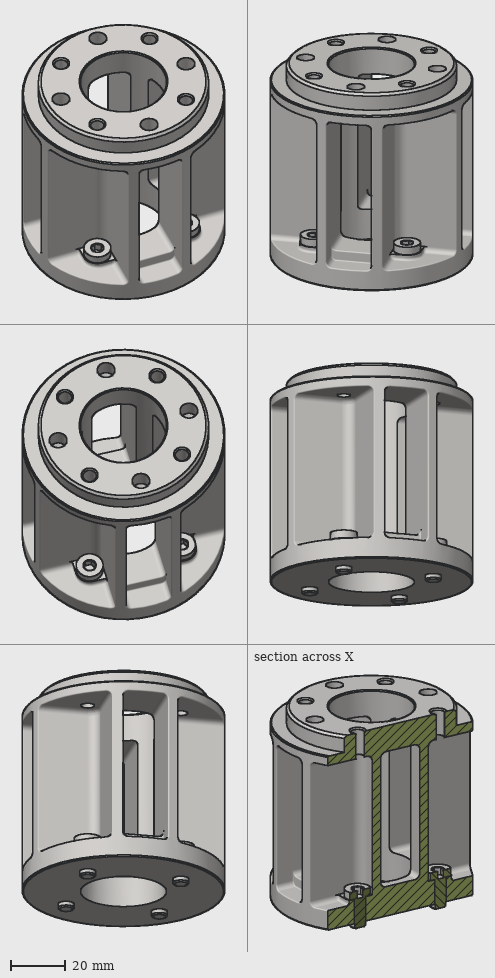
import cadquery as cq
import math

OUTER_DIAMETER = 75.0
HOUSING_HEIGHT = 75.9
SPIGOT_DIAMETER = 63.0
SPIGOT_HEIGHT = 6.55
SPIGOT_CHAMFER = 1.0
BORE_DIAMETER = 31.8
EDGE_BREAK = 0.5
COUNTERSINK_ANGLE = 90

FLOOR_Z = 7.95
CEILING_Z = 65.4
OPENING_FILLET = 2.0

WINDOW_HALF_WIDTH = 8.5
LEDGE_HEIGHT = 4.0
LEDGE_REACH = 29.0

POCKET_WALL = 12.55
POCKET_CORNER_RADIUS = 4.0
SEAT_HEIGHT = 2.0
SEAT_REACH = 23.0
SEAT_FILLET = 1.0

BOLT_CIRCLE_DIAMETER = 50.0
THREADED_HOLE_DIAMETER = 5.0
THREADED_HOLE_MOUTH = 6.15
BLIND_HOLE_DIAMETER = 6.5
BLIND_HOLE_DEPTH = 7.0
DRILL_POINT_ANGLE = 118

SCREW_DIAMETER = 6.0
SCREW_HEAD_DIAMETER = 10.0
SCREW_HEAD_HEIGHT = 3.0
SCREW_PROTRUSION = 2.0
SCREW_TIP_CHAMFER = 0.55
SOCKET_ACROSS_FLATS = 4.1
SOCKET_DEPTH = 3.1

OUTER_RADIUS = OUTER_DIAMETER / 2
FLANGE_TOP_Z = HOUSING_HEIGHT - SPIGOT_HEIGHT
LEDGE_TOP_Z = FLOOR_Z + LEDGE_HEIGHT
SEAT_TOP_Z = FLOOR_Z + SEAT_HEIGHT
BOLT_CIRCLE_RADIUS = BOLT_CIRCLE_DIAMETER / 2
SCREW_OFFSET = BOLT_CIRCLE_RADIUS / math.sqrt(2)
SCREW_POSITIONS = [(sx * SCREW_OFFSET, sy * SCREW_OFFSET) for sx in (-1, 1) for sy in (-1, 1)]
QUARTER_TURNS = (0, 90, 180, 270)
TOLERANCE = 0.01


def turned(shape, angle):
    """The shape rotated about the Z axis."""
    return shape.rotate((0, 0, 0), (0, 0, 1), angle)


def rounded(shape, chosen, radius):
    """The shape with a fillet on every edge for which chosen(edge) is true."""
    edges = [edge for edge in shape.edges().vals() if chosen(edge)]
    return shape.newObject(edges).fillet(radius)


def block(x_range, y_range, z_range):
    """An axis-aligned box between the given limits."""
    (x0, x1), (y0, y1), (z0, z1) = x_range, y_range, z_range
    return cq.Workplane("XY").box(x1 - x0, y1 - y0, z1 - z0, centered=False).translate((x0, y0, z0))


def barrel():
    """The solid outer form: a round bar with chamfered rims, and the spigot on top of it."""
    base = cq.Workplane("XY").circle(OUTER_RADIUS).extrude(FLANGE_TOP_Z)
    base = base.edges().chamfer(EDGE_BREAK)
    spigot = cq.Workplane("XY").workplane(offset=FLANGE_TOP_Z).circle(SPIGOT_DIAMETER / 2)
    spigot = spigot.extrude(SPIGOT_HEIGHT).faces(">Z").edges().chamfer(SPIGOT_CHAMFER)
    return base.union(spigot)


def is_ledge_rim(edge):
    """True for the upper rim of the ledge front, with its arcs up to the window walls."""
    middle = edge.positionAt(0.5)
    on_front = abs(middle.x - LEDGE_REACH) < TOLERANCE
    return on_front and LEDGE_TOP_Z - TOLERANCE < middle.z < LEDGE_TOP_Z + OPENING_FILLET


def window_cutter():
    """One arm of the window cross, along +X: high over the ledge, full depth beyond it."""
    width = (-WINDOW_HALF_WIDTH, WINDOW_HALF_WIDTH)
    over_ledge = block((0, OUTER_DIAMETER), width, (LEDGE_TOP_Z, CEILING_Z))
    over_ledge = over_ledge.edges("|X").fillet(OPENING_FILLET)
    beyond_ledge = block((LEDGE_REACH, OUTER_DIAMETER), width, (FLOOR_Z, CEILING_Z))
    beyond_ledge = beyond_ledge.edges("|X").fillet(OPENING_FILLET)
    beyond_ledge = beyond_ledge.faces("<X").edges().fillet(EDGE_BREAK)
    cutter = over_ledge.union(beyond_ledge)
    return rounded(cutter, is_ledge_rim, EDGE_BREAK)


def is_seat_foot(edge):
    """True for the edges where the screw seat meets the flat pocket floor."""
    middle = edge.positionAt(0.5)
    on_floor = abs(middle.z - FLOOR_Z) < TOLERANCE
    return on_floor and max(middle.x, middle.y) < SEAT_REACH + TOLERANCE


def pocket_cutter():
    """The pocket in the +X +Y corner, leaving the screw seat standing on its floor."""
    side = (POCKET_WALL, OUTER_DIAMETER)
    pocket = block(side, side, (FLOOR_Z, CEILING_Z))
    pocket = pocket.edges("|Z and <X and <Y").fillet(POCKET_CORNER_RADIUS)
    pocket = pocket.faces("<Z or >Z").edges("not(>X or >Y)").fillet(OPENING_FILLET)
    seat = block((0, SEAT_REACH), (0, SEAT_REACH), (0, SEAT_TOP_Z))
    seat = seat.edges("|Z and >X and >Y").fillet(SEAT_REACH - SCREW_OFFSET)
    pocket = pocket.cut(seat)
    return rounded(pocket, is_seat_foot, SEAT_FILLET)


def is_opening_edge(edge):
    """True for the rims of the windows and pockets on the outer cylinder."""
    middle = edge.positionAt(0.5)
    on_cylinder = abs(math.hypot(middle.x, middle.y) - OUTER_RADIUS) < TOLERANCE
    return on_cylinder and FLOOR_Z - TOLERANCE < middle.z < CEILING_Z + TOLERANCE


def with_openings(body):
    """Cuts the window cross and the corner pockets, and rounds their rims on the outer cylinder."""
    for angle in QUARTER_TURNS:
        body = body.cut(turned(window_cutter(), angle))
        body = body.cut(turned(pocket_cutter(), angle))
    return rounded(body, is_opening_edge, EDGE_BREAK)


def with_bore(body):
    """Cuts the central bore, with a chamfered mouth in the top face."""
    mouth = BORE_DIAMETER + 2 * EDGE_BREAK
    top = body.faces(">Z").workplane(origin=(0, 0, HOUSING_HEIGHT))
    return top.cskHole(BORE_DIAMETER, mouth, COUNTERSINK_ANGLE)


def blind_hole():
    """A drilled hole with a conical bottom, opening at the top face on the +X axis."""
    radius = BLIND_HOLE_DIAMETER / 2
    point_depth = radius / math.tan(math.radians(DRILL_POINT_ANGLE / 2))
    profile = cq.Workplane("XZ").polyline([
        (0, 0),
        (radius, 0),
        (radius, -BLIND_HOLE_DEPTH),
        (0, -BLIND_HOLE_DEPTH - point_depth),
    ]).close()
    return profile.revolve(360, (0, 0, 0), (0, 1, 0)).translate((BOLT_CIRCLE_RADIUS, 0, HOUSING_HEIGHT))


def with_flange_holes(body):
    """Cuts four blind holes on the axes and four threaded holes above the screws."""
    for angle in QUARTER_TURNS:
        body = body.cut(turned(blind_hole(), angle))
    top = body.faces(">Z").workplane(origin=(0, 0, HOUSING_HEIGHT)).pushPoints(SCREW_POSITIONS)
    flange_depth = HOUSING_HEIGHT - CEILING_Z
    return top.cskHole(THREADED_HOLE_DIAMETER, THREADED_HOLE_MOUTH, COUNTERSINK_ANGLE, depth=flange_depth)


def with_screw_holes(body):
    """Cuts the holes that the screw shanks fill, through the seats and the base plate."""
    holes = cq.Workplane("XY").pushPoints(SCREW_POSITIONS).circle(SCREW_DIAMETER / 2)
    return body.cut(holes.extrude(SEAT_TOP_Z))


def screw():
    """A low-head socket screw along Z, with the underside of its head at z = 0."""
    length = SEAT_TOP_Z + SCREW_PROTRUSION
    across_corners = SOCKET_ACROSS_FLATS / math.cos(math.pi / 6)
    head = cq.Workplane("XY").circle(SCREW_HEAD_DIAMETER / 2).extrude(SCREW_HEAD_HEIGHT)
    shank = cq.Workplane("XY").circle(SCREW_DIAMETER / 2).extrude(-length)
    shank = shank.faces("<Z").edges().chamfer(SCREW_TIP_CHAMFER)
    socket = cq.Workplane("XY").workplane(offset=SCREW_HEAD_HEIGHT).polygon(6, across_corners)
    mouth_depth = (across_corners - SOCKET_ACROSS_FLATS) / 2
    mouth = cq.Workplane("XY").workplane(offset=SCREW_HEAD_HEIGHT).circle(across_corners / 2)
    mouth = mouth.extrude(-mouth_depth, taper=COUNTERSINK_ANGLE / 2)
    return head.union(shank).cut(socket.extrude(-SOCKET_DEPTH)).cut(mouth)


housing = with_screw_holes(with_flange_holes(with_bore(with_openings(barrel()))))
screws = [screw().translate((x, y, SEAT_TOP_Z)) for x, y in SCREW_POSITIONS]
result = cq.Compound.makeCompound([housing.val(), *[item.val() for item in screws]])